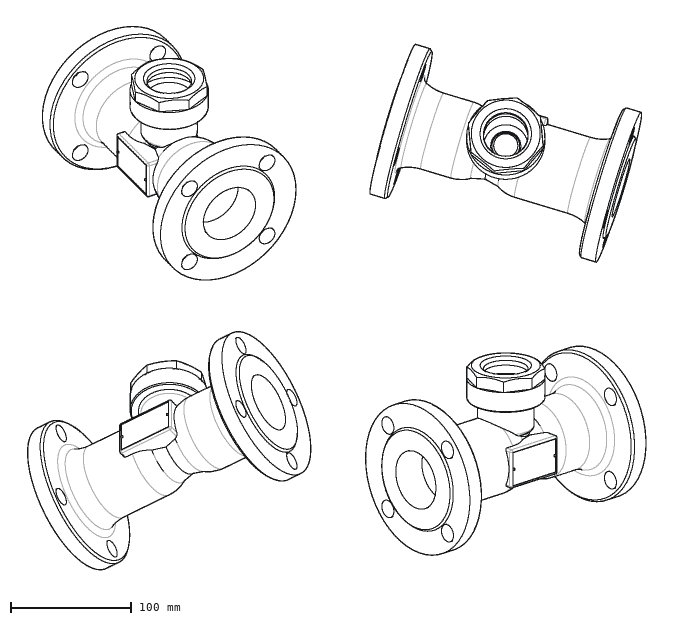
import cadquery as cq
import math

length = 200.0
flange_radius = 65.0
flange_thickness = 14.8
flange_chamfer = 2.0
face_height = 2.0
face_radius = 42.5
face_base_radius = 44.5
bolt_hole_diameter = 15.0
bolt_circle_diameter = 105.0
bolt_count = 4
port_diameter = 50.0
port_depth = 29.0

pipe_radius = 33.0
hub_length = 19.5
hub_flare_length = 15.8
hub_mid_radius = 36.5
waist_x = 10.0
waist_radius = 25.5
shoulder_radius = 28.5
shoulder_offset = 11.8
waist_half_length = 27.5

neck_radius = 47.0 / 2
neck_core_radius = 20.8
neck_bottom_z = 20.2
neck_bottom_fillet = 2.8
neck_flare_z = 43.8
thread_radius = 51.0 / 2
neck_top_z = 59.0
neck_bore_diameter = 37.0

nozzle_floor_z = 26.0
nozzle_base_radius = 25.0 / 2
nozzle_base_height = 2.0
nozzle_cone_radius = 23.0 / 2
nozzle_cone_height = 2.0
nozzle_dome_radius = 10.0

pad_width = 52.0
pad_height = 34.0
pad_front_y = -35.8
pad_back_y = -16.0
pad_fillet = 1.8
pad_recess_width = 47.5
pad_recess_height = 29.5
pad_recess_depth = 0.5
rivet_radius = 1.0
rivet_x = 23.0

nut_radius = 65.0 / 2
nut_sides = 8
nut_bottom_z = 46.5
nut_bottom_chamfer = 1.0
octagon_bottom_z = 64.5
nut_top_z = 76.0
nut_face_radius = 28.5
nut_chamfer_angle = 30.0
nut_hole_radius = neck_bore_diameter / 2
nut_hole_chamfer = 2.8
nut_lip_z = 69.0

flange_back_x = length / 2 - face_height - flange_thickness


def tangent_arc_middle(flat_end, other_end):
    """Middle of the arc from flat_end to other_end that is parallel to the axis at flat_end.

    Each point is a place along the turning axis and a radius.
    """
    run = other_end[0] - flat_end[0]
    rise = other_end[1] - flat_end[1]
    radius = (run ** 2 + rise ** 2) / (2 * rise)
    half_angle = math.atan2(rise, abs(run))
    return (
        flat_end[0] + math.copysign(abs(radius) * math.sin(half_angle), run),
        flat_end[1] + radius * (1 - math.cos(half_angle)),
    )


def make_pipe_core():
    """Plain pipe pinched to a sharp waist, turned about X."""
    left_pipe = (waist_x - waist_half_length, pipe_radius)
    left_shoulder = (waist_x - shoulder_offset, shoulder_radius)
    right_shoulder = (waist_x + shoulder_offset, shoulder_radius)
    right_pipe = (waist_x + waist_half_length, pipe_radius)
    return (
        cq.Workplane("XY")
        .moveTo(-flange_back_x, 0)
        .lineTo(-flange_back_x, pipe_radius)
        .lineTo(*left_pipe)
        .threePointArc(tangent_arc_middle(left_pipe, left_shoulder), left_shoulder)
        .lineTo(waist_x, waist_radius)
        .lineTo(*right_shoulder)
        .threePointArc(tangent_arc_middle(right_pipe, right_shoulder), right_pipe)
        .lineTo(flange_back_x, pipe_radius)
        .lineTo(flange_back_x, 0)
        .close()
        .revolve(360, (0, 0, 0), (1, 0, 0))
    )


def make_flange():
    """Flange with raised face and flared hub, at the +X end."""
    face_x = length / 2
    rim_x = face_x - face_height
    pipe_end = (flange_back_x - hub_length, pipe_radius)
    flare_end = (pipe_end[0] + hub_flare_length, hub_mid_radius)
    flare_angle = 2 * math.atan2(hub_mid_radius - pipe_radius, hub_flare_length)
    root_length = hub_length - hub_flare_length
    fillet_radius = root_length / (1 - math.sin(flare_angle))
    middle_angle = (flare_angle + math.pi / 2) / 2
    root_end = (flange_back_x, hub_mid_radius + fillet_radius * math.cos(flare_angle))
    root_middle = (
        flange_back_x - fillet_radius * (1 - math.sin(middle_angle)),
        root_end[1] - fillet_radius * math.cos(middle_angle),
    )
    return (
        cq.Workplane("XY")
        .moveTo(pipe_end[0], 0)
        .lineTo(*pipe_end)
        .threePointArc(tangent_arc_middle(pipe_end, flare_end), flare_end)
        .threePointArc(root_middle, root_end)
        .lineTo(flange_back_x, flange_radius - flange_chamfer)
        .lineTo(flange_back_x + flange_chamfer, flange_radius)
        .lineTo(rim_x, flange_radius)
        .lineTo(rim_x, face_base_radius)
        .lineTo(face_x, face_radius)
        .lineTo(face_x, 0)
        .close()
        .revolve(360, (0, 0, 0), (1, 0, 0))
    )


def make_flange_cuts():
    """Bolt holes and blind port of the +X flange."""
    bolts = (
        cq.Workplane("YZ", origin=(flange_back_x, 0, 0))
        .polarArray(bolt_circle_diameter / 2, 180 / bolt_count, 360, bolt_count)
        .circle(bolt_hole_diameter / 2)
        .extrude(length / 2 - flange_back_x)
    )
    port = (
        cq.Workplane("YZ", origin=(length / 2 - port_depth, 0, 0))
        .circle(port_diameter / 2)
        .extrude(port_depth)
    )
    return bolts.union(port)


def make_neck():
    """Neck with a rounded lower end and a wider threaded top, turned about Z."""
    flare_middle_z, flare_middle_radius = tangent_arc_middle(
        (neck_flare_z, neck_radius), (nut_bottom_z, thread_radius)
    )
    core = cq.Workplane("XY").circle(neck_core_radius).extrude(neck_bottom_z)
    barrel = (
        cq.Workplane("XY", origin=(0, 0, neck_bottom_z))
        .circle(neck_radius)
        .extrude(neck_flare_z - neck_bottom_z)
        .faces("<Z").edges().fillet(neck_bottom_fillet)
    )
    top = (
        cq.Workplane("XZ")
        .moveTo(0, neck_flare_z)
        .lineTo(neck_radius, neck_flare_z)
        .threePointArc(
            (flare_middle_radius, flare_middle_z), (thread_radius, nut_bottom_z)
        )
        .lineTo(thread_radius, neck_top_z)
        .lineTo(0, neck_top_z)
        .close()
        .revolve(360, (0, 0, 0), (0, 1, 0))
    )
    return core.union(barrel).union(top)


def make_nozzle():
    """Domed nozzle standing on the floor of the neck bore."""
    base_z = nozzle_floor_z + nozzle_base_height
    dome_z = base_z + nozzle_cone_height
    dome_turn = nozzle_dome_radius * math.sqrt(0.5)
    return (
        cq.Workplane("XZ")
        .moveTo(0, nozzle_floor_z)
        .lineTo(nozzle_base_radius, nozzle_floor_z)
        .lineTo(nozzle_base_radius, base_z)
        .lineTo(nozzle_cone_radius, base_z)
        .lineTo(nozzle_dome_radius, dome_z)
        .threePointArc((dome_turn, dome_z + dome_turn), (0, dome_z + nozzle_dome_radius))
        .close()
        .revolve(360, (0, 0, 0), (0, 1, 0))
    )


def make_pad():
    """Rounded, shallowly recessed name plate pad with a round-headed rivet at each end."""
    pad = (
        cq.Workplane("XZ", origin=(0, pad_back_y, 0))
        .rect(pad_width, pad_height)
        .extrude(pad_back_y - pad_front_y)
        .edges("|Y or <Y")
        .fillet(pad_fillet)
    )
    recess = (
        cq.Workplane("XZ", origin=(0, pad_front_y + pad_recess_depth, 0))
        .rect(pad_recess_width, pad_recess_height)
        .extrude(pad_recess_depth)
    )
    pad = pad.cut(recess)
    for x in (-rivet_x, rivet_x):
        pad = pad.union(cq.Workplane("XY", origin=(x, pad_front_y, 0)).sphere(rivet_radius))
    return pad


def make_housing():
    flange = make_flange()
    cuts = make_flange_cuts()
    housing = make_pipe_core().union(make_neck()).union(make_pad())
    housing = housing.union(flange).union(flange.mirror("YZ"))
    housing = housing.cut(cuts).cut(cuts.mirror("YZ"))
    bore = (
        cq.Workplane("XY", origin=(0, 0, nozzle_floor_z))
        .circle(neck_bore_diameter / 2)
        .extrude(neck_top_z - nozzle_floor_z)
    )
    return housing.cut(bore).union(make_nozzle())


def make_cap_nut():
    """Round collar with an octagon on top, hollow below a lip around the viewing hole."""
    collar = (
        cq.Workplane("XY", origin=(0, 0, nut_bottom_z))
        .circle(nut_radius)
        .extrude(octagon_bottom_z - nut_bottom_z)
        .faces("<Z").edges().chamfer(nut_bottom_chamfer)
    )
    octagon = (
        cq.Workplane("XY", origin=(0, 0, octagon_bottom_z))
        .polygon(nut_sides, 2 * nut_radius)
        .extrude(nut_top_z - octagon_bottom_z)
    )
    corner_drop = (nut_radius - nut_face_radius) * math.tan(math.radians(nut_chamfer_angle))
    chamfered_envelope = (
        cq.Workplane("XZ")
        .moveTo(0, nut_bottom_z)
        .lineTo(nut_radius, nut_bottom_z)
        .lineTo(nut_radius, nut_top_z - corner_drop)
        .lineTo(nut_face_radius, nut_top_z)
        .lineTo(0, nut_top_z)
        .close()
        .revolve(360, (0, 0, 0), (0, 1, 0))
    )
    opening = (
        cq.Workplane("XZ")
        .moveTo(0, nut_bottom_z)
        .lineTo(thread_radius, nut_bottom_z)
        .lineTo(thread_radius, nut_lip_z)
        .lineTo(nut_hole_radius, nut_lip_z)
        .lineTo(nut_hole_radius, nut_top_z - nut_hole_chamfer)
        .lineTo(nut_hole_radius + nut_hole_chamfer, nut_top_z)
        .lineTo(0, nut_top_z)
        .close()
        .revolve(360, (0, 0, 0), (0, 1, 0))
    )
    return collar.union(octagon.intersect(chamfered_envelope)).cut(opening)


housing = make_housing()
cap_nut = make_cap_nut()
result = cq.Compound.makeCompound([housing.solids().val(), cap_nut.solids().val()])